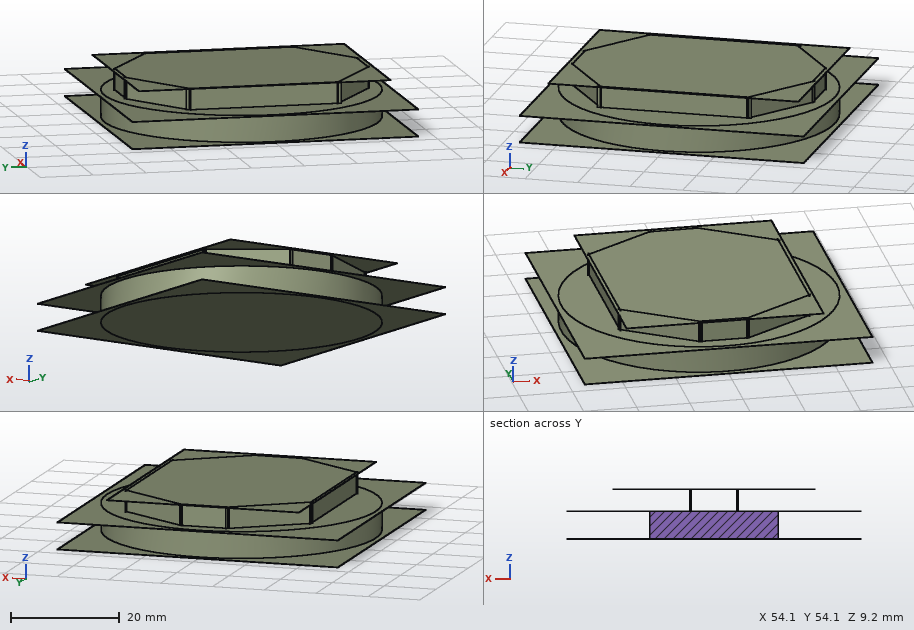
import cadquery as cq
import math

plate_side = 54.1
total_height = 9.2
sheet = 0.05

disc_diameter = 51.8
disc_height = 5.15

cover_x = 37.05
cover_y = 47.6
block_half_x = 17.8
block_half_y = 22.9
long_wall_half = 14.65
short_wall_half = 4.75
slant_outer = (18.05, 13.9)
slant_inner = (4.2, 23.15)

slant_dx = slant_inner[0] - slant_outer[0]
slant_dy = slant_inner[1] - slant_outer[1]
slant_slope = slant_dy / slant_dx
corner_y = slant_outer[1] + (block_half_x - slant_outer[0]) * slant_slope
corner_x = slant_outer[0] + (block_half_y - slant_outer[1]) / slant_slope
block_height = total_height - disc_height


def thin_plate(size_x, size_y, bottom):
    """Centred thin plate with its underside at the given height."""
    return cq.Workplane("XY").box(size_x, size_y, sheet, (True, True, False)).translate((0, 0, bottom))


def thin_wall(length, center, angle):
    """Upright thin wall of the block, running along the given angle in degrees."""
    wall = cq.Workplane("XY").box(length, sheet, block_height, (True, True, False))
    return wall.rotate((0, 0, 0), (0, 0, 1), angle).translate((*center, disc_height))


base = cq.Workplane("XY").circle(disc_diameter / 2).extrude(disc_height)
for bottom in (0, disc_height - sheet):
    base = base.union(thin_plate(plate_side, plate_side, bottom))

block_corners = [
    (block_half_x, corner_y),
    (corner_x, block_half_y),
    (-corner_x, block_half_y),
    (-block_half_x, corner_y),
    (-block_half_x, -corner_y),
    (-corner_x, -block_half_y),
    (corner_x, -block_half_y),
    (block_half_x, -corner_y),
]
block = cq.Workplane("XY").workplane(offset=disc_height).polyline(block_corners).close().extrude(block_height)

for side in (-1, 1):
    block = block.union(thin_wall(2 * long_wall_half, (side * (block_half_x - sheet / 2), 0), 90))
    block = block.union(thin_wall(2 * short_wall_half, (0, side * (block_half_y - sheet / 2)), 0))

slant_length = math.hypot(slant_dx, slant_dy)
slant_angle = math.degrees(math.atan(slant_slope))
slant_center_x = (slant_outer[0] + slant_inner[0]) / 2 + slant_dy / slant_length * -sheet / 2
slant_center_y = (slant_outer[1] + slant_inner[1]) / 2 + slant_dx / slant_length * sheet / 2
for side_x in (-1, 1):
    for side_y in (-1, 1):
        center = (side_x * slant_center_x, side_y * slant_center_y)
        block = block.union(thin_wall(slant_length, center, side_x * side_y * slant_angle))

cover = thin_plate(cover_x, cover_y, total_height - sheet)

result = base.union(block).union(cover)